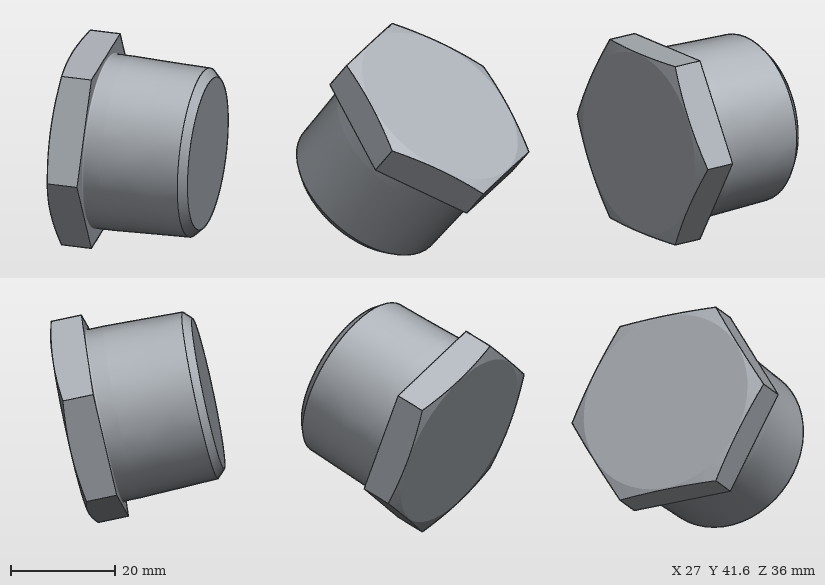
import cadquery as cq
import math

across_corners = 41.55
head_thickness = 6.75
head_face_diameter = 35.55
head_chamfer_angle = 15.0

total_length = 27.0
collar_diameter = 33.65
collar_end = 10.23
taper_ratio = 1 / 16
end_chamfer = 1.6
root_fillet = 0.25


def revolve_about_x(profile):
    """Revolve a closed (X, radius) profile, drawn in the XZ plane, around the X axis."""
    return profile.close().revolve(360, (0, 0, 0), (1, 0, 0))


def make_head():
    """Hexagon with corners on +/-Y, its outer corners cut by a shallow cone."""
    hexagon = cq.Workplane("YZ").polygon(6, across_corners).extrude(head_thickness)
    face_radius = head_face_diameter / 2
    corner_radius = across_corners / 2
    rim_radius = corner_radius + head_thickness
    cone_depth = (rim_radius - face_radius) * math.tan(math.radians(head_chamfer_angle))
    envelope = revolve_about_x(
        cq.Workplane("XZ")
        .lineTo(0, face_radius)
        .lineTo(cone_depth, rim_radius)
        .lineTo(head_thickness, rim_radius)
        .lineTo(head_thickness, 0)
    )
    return hexagon.intersect(envelope)


def make_plug():
    """Root fillet, straight collar, tapered body and chamfered end."""
    collar_radius = collar_diameter / 2
    chamfer_start = total_length - end_chamfer
    taper_end_radius = collar_radius - (chamfer_start - collar_end) * taper_ratio / 2

    fillet_end = head_thickness + root_fillet
    fillet_top = collar_radius + root_fillet
    fillet_inset = root_fillet * (1 - math.sqrt(0.5))

    return revolve_about_x(
        cq.Workplane("XZ")
        .moveTo(head_thickness, 0)
        .lineTo(head_thickness, fillet_top)
        .threePointArc(
            (head_thickness + fillet_inset, collar_radius + fillet_inset),
            (fillet_end, collar_radius),
        )
        .lineTo(collar_end, collar_radius)
        .lineTo(chamfer_start, taper_end_radius)
        .lineTo(total_length, taper_end_radius - end_chamfer)
        .lineTo(total_length, 0)
    )


result = make_head().union(make_plug())